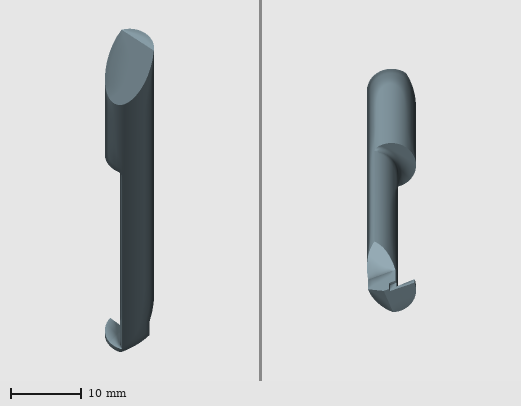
import cadquery as cq
import math

length = 65.5
shank_radius = 3.505
shoulder_height = 41.15
neck_left = -0.7
neck_edge_x = 1.3
neck_fillet = 0.6
slant_angle = 30.0
top_land_y = 1.85
rake_y = 0.295
rake_height = 5.7
end_chamfer = 2.55
foot_bottom = 0.1
foot_top = 0.9
tip_corner_top = 1.2
pocket_y = -0.05
pocket_height = 2.1
pocket_wall_x = 0.25
tip_split_x = -0.9

slant_rise = 1 / math.tan(math.radians(slant_angle))
neck_edge_y = math.sqrt(shank_radius**2 - neck_edge_x**2)
flank_rise = neck_edge_x - neck_left
flank_radius = (flank_rise**2 + neck_edge_y**2) / (2 * flank_rise)
reach = 2 * shank_radius


def make_neck_cutter():
    """Ring around the neck; its rounded upper inner edge leaves the shoulder blend."""
    ring = (
        cq.Workplane("XY")
        .center(neck_left + flank_radius, 0)
        .circle(flank_radius + reach)
        .circle(flank_radius)
        .extrude(shoulder_height - foot_bottom)
        .translate((0, 0, foot_bottom))
    )
    return ring.faces(">Z").edges(cq.selectors.RadiusNthSelector(0)).fillet(neck_fillet)


def make_blank():
    """Round rod, relieved below the shoulder to form the slimmer neck."""
    rod = (
        cq.Workplane("XY")
        .workplane(offset=foot_bottom)
        .circle(shank_radius)
        .extrude(length - foot_bottom)
    )
    return rod.cut(make_neck_cutter())


def make_foot():
    """Plate at the lower end, tapering from the cutting corner to an even thickness."""
    side_profile = (
        cq.Workplane("XZ")
        .polyline([
            (-shank_radius, 0),
            (tip_split_x, foot_bottom),
            (shank_radius, foot_bottom),
            (shank_radius, foot_top),
            (tip_split_x, foot_top),
            (-shank_radius, tip_corner_top),
        ])
        .close()
        .extrude(reach)
        .translate((0, rake_y, 0))
    )
    rod = cq.Workplane("XY").circle(shank_radius).extrude(tip_corner_top)
    return side_profile.intersect(rod)


def make_top_slant():
    drop = (top_land_y + reach) * slant_rise
    return (
        cq.Workplane("YZ")
        .polyline([(top_land_y, length), (-reach, length), (-reach, length - drop)])
        .close()
        .extrude(reach, both=True)
    )


def make_rake_cutter():
    runout_top = rake_height + (reach - rake_y) * slant_rise
    return (
        cq.Workplane("YZ")
        .polyline([(rake_y, 0), (rake_y, rake_height), (reach, runout_top), (reach, 0)])
        .close()
        .extrude(reach, both=True)
    )


def make_end_chamfer():
    return (
        cq.Workplane("XZ")
        .polyline([
            (shank_radius - end_chamfer, 0),
            (shank_radius, end_chamfer),
            (shank_radius, 0),
        ])
        .close()
        .extrude(reach, both=True)
    )


def make_chip_pocket():
    """Shallow recess in the rake flat, open towards the cutting corner."""
    return cq.Workplane("XY").box(reach, reach, pocket_height, centered=False).translate(
        (pocket_wall_x - reach, pocket_y, 0)
    )


def make_tip_region():
    return (
        cq.Workplane("XY")
        .rect(reach, 2 * reach)
        .extrude(tip_corner_top)
        .translate((tip_split_x - reach / 2, 0, 0))
    )


def make_bar():
    bar_foot = make_foot().cut(make_tip_region())
    bar = make_blank().union(bar_foot)
    bar = bar.cut(make_top_slant()).cut(make_rake_cutter())
    return bar.cut(make_chip_pocket()).cut(make_end_chamfer())


def make_cutting_tip():
    return make_foot().intersect(make_tip_region()).cut(make_chip_pocket())


bar = make_bar()
cutting_tip = make_cutting_tip()
result = cq.Compound.makeCompound([bar.solids().val(), cutting_tip.solids().val()])